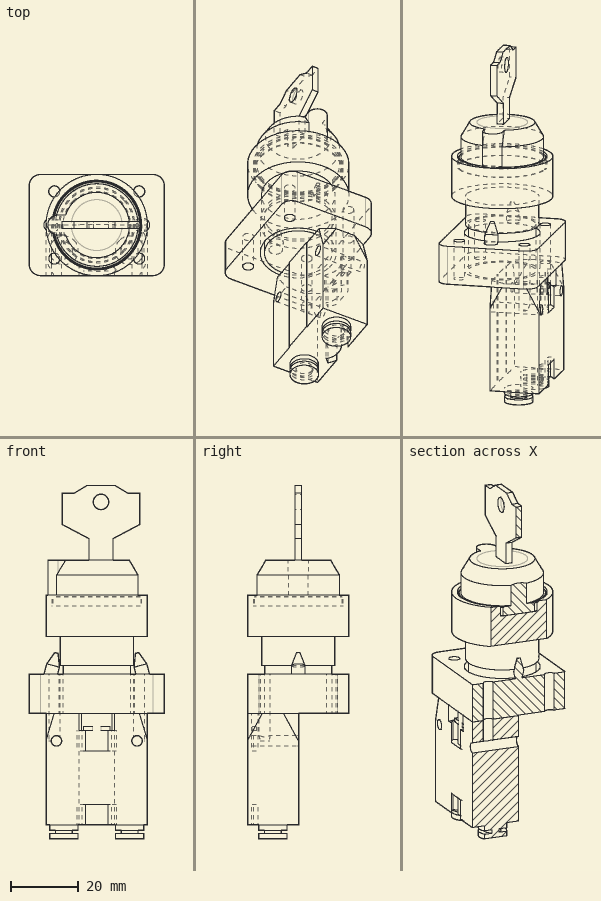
import cadquery as cq
import math

FITTING_HEIGHT = 4.1
VALVE_HEIGHT = 33.0
PLATE_HEIGHT = 11.6
STEM_HEIGHT = 2.5
NECK_HEIGHT = 8.6
RING_HEIGHT = 12.2
KNOB_HEIGHT = 10.3
TOTAL_HEIGHT = 104.5

valve_bottom = FITTING_HEIGHT
valve_top = valve_bottom + VALVE_HEIGHT
plate_top = valve_top + PLATE_HEIGHT
stem_top = plate_top + STEM_HEIGHT
neck_top = stem_top + NECK_HEIGHT
ring_top = neck_top + RING_HEIGHT
knob_top = ring_top + KNOB_HEIGHT

PLATE_LENGTH = 40.0
PLATE_WIDTH = 30.0
PLATE_CORNER_RADIUS = 3.5
PLATE_HOLE_DIAMETER = 3.2
PLATE_HOLE_SPACING_X = 25.1
PLATE_HOLE_SPACING_Y = 19.9
SOCKET_DIAMETER = 22.5
PEG_DIAMETER = 4.0
PEG_TIP_DIAMETER = 1.0
PEG_SHANK_LENGTH = 2.6
PEG_CONE_LENGTH = 3.9
PEG_TILT = 15.0
PEG_OFFSET = 13.6
PEG_ROOT_LENGTH = 1.0

VALVE_LENGTH = PLATE_WIDTH
VALVE_DEPTH = PLATE_WIDTH / 2
CORNER_CUT_X = 2.4
CORNER_CUT_Y = 4.4
CORNER_CUT_Z = 8.0
CROSS_HOLE_DIAMETER = 3.0
CROSS_HOLE_SPACING = 23.8
CROSS_HOLE_DROP = 8.2
CORE_DIAMETER = 12.5
GROOVE_DIAMETER = 16.4
GROOVE_HEIGHT = 6.1
POCKET_WIDTH = 10.5
POCKET_HEIGHT = 5.0
POCKET_DEPTH = 3.1
LIP_WIDTH = 7.9
LIP_HEIGHT = 1.1
LIP_SETBACK = 1.4
REAR_STRIP_WIDTH = POCKET_WIDTH
REAR_STRIP_THICKNESS = 0.2
FITTING_SPACING = 19.4
FITTING_DIAMETER = 8.5
FITTING_NECK_DIAMETER = 5.0
FITTING_FLANGE_HEIGHT = 1.6
FITTING_NECK_HEIGHT = 0.9

valve_front = -PLATE_WIDTH / 2
valve_back = valve_front + VALVE_DEPTH
valve_axis_y = valve_front + VALVE_DEPTH / 2
cross_hole_z = valve_top - CROSS_HOLE_DROP

STEM_DIAMETER = 20.0
NECK_DIAMETER = 21.7
RING_DIAMETER = PLATE_WIDTH
RECESS_DIAMETER = 26.5
RECESS_DEPTH = 3.1

KNOB_DIAMETER = 24.5
LOCK_DIAMETER = 15.0
KNOB_TOP_DIAMETER = 19.3
KNOB_BEVEL_HEIGHT = 4.4
SKIRT_DIAMETER = 26.0
SKIRT_DROP = 0.3
SKIRT_CHAMFER = 0.26
POINTER_WIDTH = 6.0
POINTER_CENTRE_X = -11.5
KEY_OFFSET = 1.3
KEY_THICKNESS = 2.0
KEY_TOP_WIDTH = 8.3
KEY_SHOULDER_WIDTH = 15.9
KEY_HEAD_WIDTH = 23.0
KEY_BLADE_WIDTH = 7.2
KEY_CROWN_HEIGHT = 2.3
KEY_SIDE_HEIGHT = 9.3
KEY_CHIN_HEIGHT = 4.2
KEY_HOLE_DIAMETER = 4.5
KEY_HOLE_DROP = 4.9


def cylinder(diameter, bottom, top, x=0, y=0):
    """Upright cylinder between two heights."""
    return cq.Workplane("XY", origin=(x, y, bottom)).circle(diameter / 2).extrude(top - bottom)


def front_block(width, front, back, bottom, top):
    """Block centred on x = 0 between the given y and z limits."""
    block = cq.Workplane("XY").box(width, back - front, top - bottom, centered=(True, False, False))
    return block.translate((0, front, bottom))


def plate_hole_points():
    """Centres of the four screw holes."""
    half_x = PLATE_HOLE_SPACING_X / 2
    half_y = PLATE_HOLE_SPACING_Y / 2
    return [(sx * half_x, sy * half_y) for sx in (-1, 1) for sy in (-1, 1)]


def make_peg(side):
    """Conical-tipped peg whose tip leans towards the neck."""
    lean = math.radians(PEG_TILT)
    axis = cq.Vector(-side * math.sin(lean), 0, math.cos(lean))
    across = cq.Vector(0, 1, 0)
    foot = cq.Vector(side * PEG_OFFSET, 0, plate_top)
    profile_plane = cq.Plane(origin=foot, xDir=across, normal=across.cross(axis))
    peg_top = PEG_SHANK_LENGTH + PEG_CONE_LENGTH
    return (
        cq.Workplane(profile_plane)
        .moveTo(0, -PEG_ROOT_LENGTH)
        .lineTo(PEG_DIAMETER / 2, -PEG_ROOT_LENGTH)
        .lineTo(PEG_DIAMETER / 2, PEG_SHANK_LENGTH)
        .lineTo(PEG_TIP_DIAMETER / 2, peg_top)
        .lineTo(0, peg_top)
        .close()
        .revolve(360, (0, 0, 0), (0, 1, 0))
    )


def make_plate():
    """Rounded plate with screw holes, two pegs and a through socket for the head."""
    plate = (
        cq.Workplane("XY", origin=(0, 0, valve_top))
        .rect(PLATE_LENGTH, PLATE_WIDTH)
        .extrude(PLATE_HEIGHT)
        .edges("|Z")
        .fillet(PLATE_CORNER_RADIUS)
    )
    for x, y in plate_hole_points():
        plate = plate.cut(cylinder(PLATE_HOLE_DIAMETER, valve_top, plate_top, x, y))
    for side in (-1, 1):
        plate = plate.union(make_peg(side))
    return plate.cut(cylinder(SOCKET_DIAMETER, valve_top, plate_top))


def corner_cut(side_x, side_y):
    """Three-sided pyramid that bevels one top corner of the valve."""
    x = side_x * VALVE_LENGTH / 2
    y = valve_axis_y + side_y * VALVE_DEPTH / 2
    corner = cq.Vector(x, y, valve_top)
    along_x = cq.Vector(x - side_x * CORNER_CUT_X, y, valve_top)
    along_y = cq.Vector(x, y - side_y * CORNER_CUT_Y, valve_top)
    below = cq.Vector(x, y, valve_top - CORNER_CUT_Z)
    triangles = [
        (corner, along_x, along_y),
        (corner, along_x, below),
        (corner, along_y, below),
        (along_x, along_y, below),
    ]
    faces = [cq.Face.makeFromWires(cq.Wire.makePolygon(points, close=True)) for points in triangles]
    return cq.Workplane(cq.Solid.makeSolid(cq.Shell.makeShell(faces)))


def core_groove(bottom, top):
    """Quarter-turn groove around the core that breaks out through the front face."""
    reach = GROOVE_DIAMETER / 2
    ring = cylinder(GROOVE_DIAMETER, bottom, top, 0, valve_axis_y)
    core = cylinder(CORE_DIAMETER, bottom, top, 0, valve_axis_y)
    front_quarter = (
        cq.Workplane("XY", origin=(0, valve_axis_y, bottom))
        .polyline([(0, 0), (-reach, -reach), (reach, -reach)])
        .close()
        .extrude(top - bottom)
    )
    return ring.cut(core).intersect(front_quarter)


def top_pocket():
    """Wide front pocket under the plate, with the core and a small lip left standing in it."""
    bottom = valve_top - POCKET_HEIGHT
    back = valve_front + POCKET_DEPTH
    pocket = front_block(POCKET_WIDTH, valve_front, back, bottom, valve_top)
    core = cylinder(CORE_DIAMETER, bottom, valve_top, 0, valve_axis_y)
    lip = front_block(LIP_WIDTH, valve_front + LIP_SETBACK, back, bottom, bottom + LIP_HEIGHT)
    return pocket.cut(core).cut(lip)


def make_fitting(x):
    """Grooved tube fitting under the valve."""
    upper_flange_bottom = FITTING_FLANGE_HEIGHT + FITTING_NECK_HEIGHT
    fitting = cylinder(FITTING_DIAMETER, 0, FITTING_FLANGE_HEIGHT, x, valve_axis_y)
    neck = cylinder(FITTING_NECK_DIAMETER, FITTING_FLANGE_HEIGHT, upper_flange_bottom, x, valve_axis_y)
    upper_flange = cylinder(FITTING_DIAMETER, upper_flange_bottom, valve_bottom, x, valve_axis_y)
    return fitting.union(neck).union(upper_flange)


def make_valve():
    """Valve block with bevelled corners, front recesses, screw bores and fittings."""
    valve = front_block(VALVE_LENGTH, valve_front, valve_back, valve_bottom, valve_top)
    for side_x in (-1, 1):
        for side_y in (-1, 1):
            valve = valve.cut(corner_cut(side_x, side_y))
    strip_back = valve_back + REAR_STRIP_THICKNESS
    valve = valve.union(front_block(REAR_STRIP_WIDTH, valve_back, strip_back, valve_bottom, valve_top))
    pocket_bottom = valve_top - POCKET_HEIGHT
    valve = valve.cut(top_pocket())
    valve = valve.cut(core_groove(pocket_bottom - GROOVE_HEIGHT, pocket_bottom))
    valve = valve.cut(core_groove(valve_bottom, valve_bottom + GROOVE_HEIGHT))
    cross_holes = (
        cq.Workplane("XZ", origin=(0, valve_back, cross_hole_z))
        .pushPoints([(-CROSS_HOLE_SPACING / 2, 0), (CROSS_HOLE_SPACING / 2, 0)])
        .circle(CROSS_HOLE_DIAMETER / 2)
        .extrude(VALVE_DEPTH)
    )
    valve = valve.cut(cross_holes)
    for x, y in plate_hole_points():
        if y < valve_back:
            valve = valve.cut(cylinder(PLATE_HOLE_DIAMETER, cross_hole_z, valve_top, x, y))
    for side in (-1, 1):
        valve = valve.union(make_fitting(side * FITTING_SPACING / 2))
    return valve


def make_head():
    """Stem, neck and ring, with a recess in the ring for the knob."""
    head = cylinder(STEM_DIAMETER, valve_top, stem_top)
    head = head.union(cylinder(NECK_DIAMETER, stem_top, neck_top))
    head = head.union(cylinder(RING_DIAMETER, neck_top, ring_top))
    return head.cut(cylinder(RECESS_DIAMETER, ring_top - RECESS_DEPTH, ring_top))


def make_pointer():
    """Round-ended tab that stands on the ring and reaches to the knob's full height."""
    length = -POINTER_CENTRE_X
    bar_base = cq.Workplane("XY", origin=(-length / 2, 0, ring_top)).rect(length, POINTER_WIDTH)
    bar = bar_base.extrude(KNOB_HEIGHT)
    return bar.union(cylinder(POINTER_WIDTH, ring_top, knob_top, POINTER_CENTRE_X))


def make_key():
    """Flat key, set off to one side of the knob's axis."""
    shoulder_z = TOTAL_HEIGHT - KEY_CROWN_HEIGHT
    side_bottom_z = shoulder_z - KEY_SIDE_HEIGHT
    chin_z = side_bottom_z - KEY_CHIN_HEIGHT
    right_side = [
        (KEY_BLADE_WIDTH / 2, knob_top),
        (KEY_BLADE_WIDTH / 2, chin_z),
        (KEY_HEAD_WIDTH / 2, side_bottom_z),
        (KEY_HEAD_WIDTH / 2, shoulder_z),
        (KEY_SHOULDER_WIDTH / 2, shoulder_z),
        (KEY_TOP_WIDTH / 2, TOTAL_HEIGHT),
    ]
    left_side = [(-x, z) for x, z in reversed(right_side)]
    key = cq.Workplane("XZ").polyline(right_side + left_side).close().extrude(KEY_THICKNESS / 2, both=True)
    hole = (
        cq.Workplane("XZ")
        .center(0, TOTAL_HEIGHT - KEY_HOLE_DROP)
        .circle(KEY_HOLE_DIAMETER / 2)
        .extrude(KEY_THICKNESS, both=True)
    )
    return key.cut(hole).translate((KEY_OFFSET, 0, 0))


def make_knob():
    """Bevelled knob on a chamfered skirt, with pointer, lock and inserted key."""
    bottom = ring_top - RECESS_DEPTH
    skirt_top = ring_top - SKIRT_DROP
    bevel_bottom = knob_top - KNOB_BEVEL_HEIGHT
    knob = cylinder(SKIRT_DIAMETER, bottom, skirt_top).faces(">Z").chamfer(SKIRT_CHAMFER)
    knob = knob.union(cylinder(KNOB_DIAMETER, bottom, bevel_bottom))
    bevel = cq.Solid.makeCone(
        KNOB_DIAMETER / 2, KNOB_TOP_DIAMETER / 2, KNOB_BEVEL_HEIGHT, pnt=cq.Vector(0, 0, bevel_bottom)
    )
    knob = knob.union(cq.Workplane(bevel)).union(make_pointer())
    lock = cylinder(LOCK_DIAMETER, bottom, knob_top)
    return knob.cut(lock).union(lock, clean=False).union(make_key(), clean=False)


valve = make_valve().solids()
plate = make_plate().solids()
head = make_head().solids()
knob = make_knob().solids()

result = cq.Compound.makeCompound([valve.val(), plate.val(), head.val(), knob.val()])